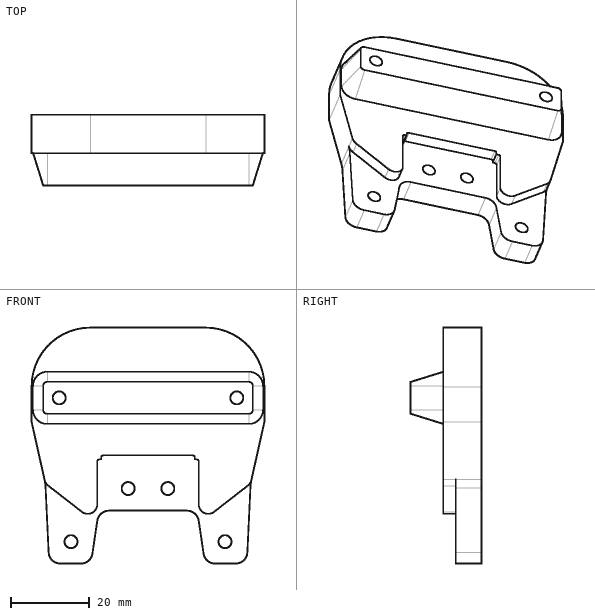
import cadquery as cq
import math

width = 59.0
depth = 18.0
height = 59.8
half_width = width / 2

body_thickness = 9.75
leg_thickness = 6.6
top_radius = 14.95
shoulder_z = 35.95
waist_half_width = 26.0
waist_z = 20.35
waist_blend_radius = 12.55

foot_outer_x = 25.05
foot_inner_x = 14.4
gap_top_half_width = 12.45
gap_top_z = 13.4
corner_radius = 3.0

recess_half_width = 12.85
recess_top_z = 27.4
recess_step = 1.0
recess_step_radius = 0.5
lobe_tip_z = 10.1
lobe_tip_radius = 2.4

bar_length = 58.25
bar_height = 13.2
bar_z = 42.0
bar_corner_radius = 3.6
bar_inset = 2.6
bar_depth = depth - body_thickness

hole_diameter = 3.2
bar_hole_x = 22.5
web_hole_x = 5.0
web_hole_z = 19.0
foot_hole_x = 19.5
foot_hole_z = 5.55


def mirrored(right_points):
    """Close a half outline, listed from top to bottom, with its mirror image."""
    return right_points + [(-x, z) for x, z in reversed(right_points)]


def plate(points, thickness):
    """Extrude an X-Z outline forwards from the back face."""
    return cq.Workplane("XZ").polyline(points).close().extrude(thickness)


def round_corners(solid, corners, radius):
    """Fillet the edges along Y at the given X-Z corners and their mirror images."""
    reach = 0.03
    for x, z in corners:
        for side in (-1, 1):
            box = cq.selectors.BoxSelector(
                (side * x - reach, -depth, z - reach),
                (side * x + reach, depth, z + reach),
            )
            solid = solid.edges("|Y").edges(box).fillet(radius)
    return solid


top_corner = (half_width, height)
shoulder = (half_width, shoulder_z)
waist = (waist_half_width, waist_z)
foot_outer = (foot_outer_x, 0)
foot_inner = (foot_inner_x, 0)
gap_corner = (gap_top_half_width, gap_top_z)
lobe_tip = (recess_half_width, lobe_tip_z)
step_low = (recess_half_width, recess_top_z - recess_step)
step_inner = (recess_half_width - recess_step, recess_top_z - recess_step)
step_high = (recess_half_width - recess_step, recess_top_z)

thin_plate = plate(
    mirrored([top_corner, shoulder, waist, foot_outer, foot_inner, gap_corner]),
    leg_thickness,
)
thin_plate = round_corners(thin_plate, [top_corner], top_radius)
thin_plate = round_corners(thin_plate, [waist], waist_blend_radius)
thin_plate = round_corners(thin_plate, [foot_outer, foot_inner, gap_corner], corner_radius)

body_front = plate(
    mirrored([top_corner, shoulder, waist, lobe_tip, step_low, step_inner, step_high]),
    body_thickness,
)
body_front = round_corners(body_front, [top_corner], top_radius)
body_front = round_corners(body_front, [waist], corner_radius)
body_front = round_corners(body_front, [lobe_tip], lobe_tip_radius)
body_front = round_corners(body_front, [step_low, step_high], recess_step_radius)
behind_front_layer = cq.Workplane("XZ").rect(2 * width, 3 * height).extrude(leg_thickness)
body_front = body_front.cut(behind_front_layer)

bar_profile = cq.Sketch().rect(bar_length, bar_height).vertices().fillet(bar_corner_radius)
bar = (
    cq.Workplane("XZ", origin=(0, -body_thickness, bar_z))
    .placeSketch(bar_profile)
    .extrude(bar_depth, taper=math.degrees(math.atan(bar_inset / bar_depth)))
)

hole_centres = [
    (side * x, z)
    for side in (-1, 1)
    for x, z in ((bar_hole_x, bar_z), (web_hole_x, web_hole_z), (foot_hole_x, foot_hole_z))
]
holes = cq.Workplane("XZ").pushPoints(hole_centres).circle(hole_diameter / 2).extrude(depth)

result = thin_plate.union(body_front).union(bar).cut(holes)